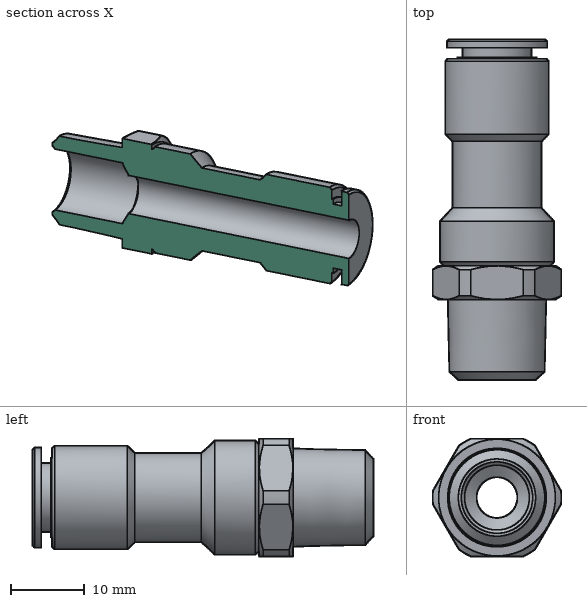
import cadquery as cq
import math

total_length = 46.3

thread_end = 10.9
hex_end = 15.55
shoulder_end = 21.55
neck_start = 23.37
neck_end = 32.4
body_start = 33.4
body_end = 43.65
lip_end = 43.85
flange_start = 45.1

thread_tip_dia = 10.5
thread_front_dia = 12.98
thread_base_dia = 13.4
shoulder_dia = 15.55
neck_dia = 12.15
body_dia = 14.1
lip_dia = 10.8
collar_dia = 9.4
flange_dia = 13.65

thread_tip_length = 1.15
shoulder_chamfer = 0.5
body_chamfer = 0.35
flange_chamfer = 0.3

hex_across_flats = 16.0
hex_corner_dia = 17.5
hex_face_dia = 15.85
hex_chamfer_length = 0.55

through_bore_dia = 5.5
front_bore_dia = 8.8
front_bore_depth = 10.9
bore_mouth_dia = 9.7
bore_cone_angle = 118.0

front_y = -total_length / 2


def revolve_profile(stations):
    """Solid of revolution about Y from (distance from tip, diameter) pairs."""
    outline = [(diameter / 2, front_y + distance) for distance, diameter in stations]
    axis_start = (0, front_y + stations[0][0])
    axis_end = (0, front_y + stations[-1][0])
    profile = cq.Workplane("XY").polyline([axis_start] + outline + [axis_end]).close()
    return profile.revolve(360, (0, 0, 0), (0, 1, 0))


def make_thread():
    """Tapered thread envelope with a chamfered tip."""
    return revolve_profile([
        (0, thread_tip_dia),
        (thread_tip_length, thread_front_dia),
        (thread_end, thread_base_dia),
    ])


def make_hexagon():
    """Wrench hexagon, flats facing +Z and -Z, with its corners turned round and chamfered."""
    corner_to_corner = hex_across_flats / math.cos(math.pi / 6)
    prism = (
        cq.Workplane("XZ", origin=(0, front_y + hex_end, 0))
        .polygon(6, corner_to_corner)
        .extrude(hex_end - thread_end)
    )
    turned_blank = revolve_profile([
        (thread_end, hex_face_dia),
        (thread_end + hex_chamfer_length, hex_corner_dia),
        (hex_end - hex_chamfer_length, hex_corner_dia),
        (hex_end, hex_face_dia),
    ])
    return prism.intersect(turned_blank)


def make_body():
    """Shoulder, neck, tube socket and lip behind the hexagon."""
    return revolve_profile([
        (hex_end, shoulder_dia - 2 * shoulder_chamfer),
        (hex_end + shoulder_chamfer, shoulder_dia),
        (shoulder_end, shoulder_dia),
        (neck_start, neck_dia),
        (neck_end, neck_dia),
        (body_start, body_dia),
        (body_end - body_chamfer, body_dia),
        (body_end, body_dia - 2 * body_chamfer),
        (body_end, lip_dia),
        (lip_end, lip_dia),
        (lip_end, collar_dia),
    ])


def make_release_collar():
    """Release sleeve with its end flange."""
    return revolve_profile([
        (lip_end, collar_dia),
        (flange_start, collar_dia),
        (flange_start, flange_dia),
        (total_length - flange_chamfer, flange_dia),
        (total_length, flange_dia - 2 * flange_chamfer),
    ])


def make_bore():
    """Through bore, widened behind the threaded tip and chamfered at its mouth."""
    mouth_chamfer = (bore_mouth_dia - front_bore_dia) / 2
    radial_step = (front_bore_dia - through_bore_dia) / 2
    cone_length = radial_step / math.tan(math.radians(bore_cone_angle / 2))
    return revolve_profile([
        (0, bore_mouth_dia),
        (mouth_chamfer, front_bore_dia),
        (front_bore_depth, front_bore_dia),
        (front_bore_depth + cone_length, through_bore_dia),
        (total_length, through_bore_dia),
    ])


fitting = make_thread().union(make_hexagon()).union(make_body()).union(make_release_collar())
result = fitting.cut(make_bore())